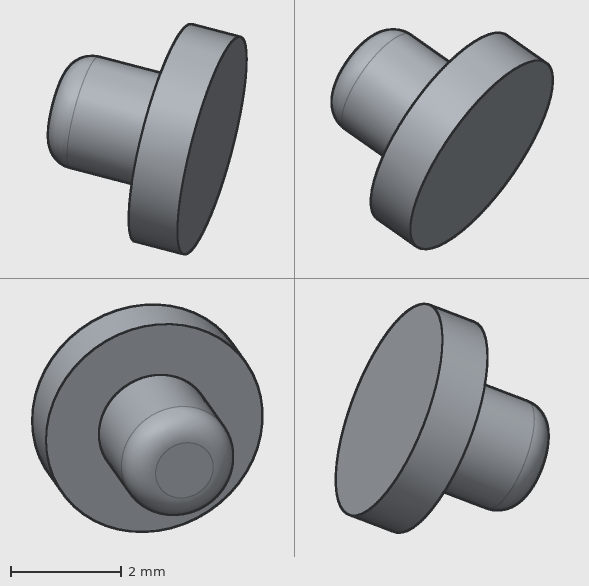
import cadquery as cq

overall_length = 2.93
flange_diameter = 4.08
flange_thickness = 0.93
pin_diameter = 2.09
tip_radius = 0.5

pin_length = overall_length - flange_thickness

pin = cq.Workplane("YZ").circle(pin_diameter / 2).extrude(pin_length)
pin = pin.faces("<X").edges().fillet(tip_radius)

flange = (
    cq.Workplane("YZ", origin=(pin_length, 0, 0))
    .circle(flange_diameter / 2)
    .extrude(flange_thickness)
)

result = pin.union(flange)